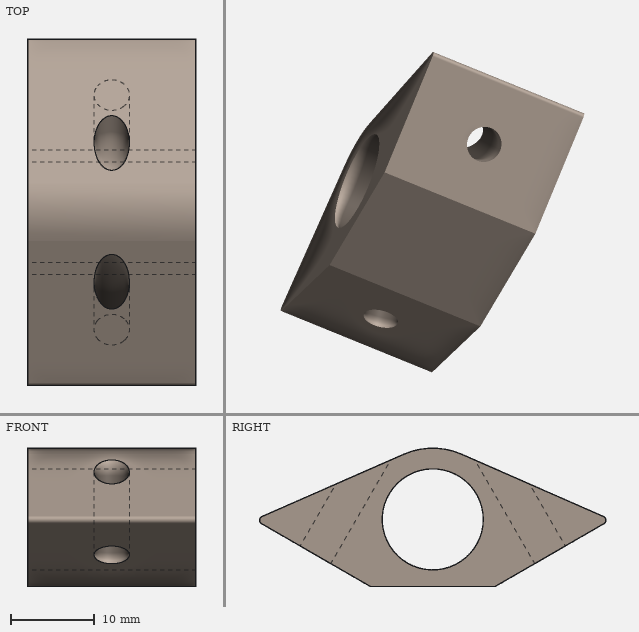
import cadquery as cq
import math

width = 20.0
length = 41.25
crown_radius = 8.5
base_depth = 8.0
base_half_width = 7.43
bore_diameter = 12.0
tip_radius = 0.5
lower_slope = math.radians(30)
hole_diameter = 4.2
hole_axis_offset = 10.0

tip_y = length / 2 - tip_radius
lower_rise = (tip_y - base_half_width) * math.tan(lower_slope)
tip_z = -base_depth + lower_rise + tip_radius / math.cos(lower_slope)
center_distance = math.hypot(tip_y, tip_z)
upper_slope = math.asin((crown_radius - tip_radius) / center_distance) - math.atan2(tip_z, tip_y)


def make_body():
    """Extrude the kite-shaped YZ profile symmetrically along X."""
    crown_y = crown_radius * math.sin(upper_slope)
    crown_z = crown_radius * math.cos(upper_slope)
    tip_upper_y = tip_y + tip_radius * math.sin(upper_slope)
    tip_upper_z = tip_z + tip_radius * math.cos(upper_slope)
    tip_lower_y = tip_y + tip_radius * math.sin(lower_slope)
    tip_lower_z = tip_z - tip_radius * math.cos(lower_slope)
    return (
        cq.Workplane("YZ")
        .moveTo(-crown_y, crown_z)
        .threePointArc((0, crown_radius), (crown_y, crown_z))
        .lineTo(tip_upper_y, tip_upper_z)
        .threePointArc((length / 2, tip_z), (tip_lower_y, tip_lower_z))
        .lineTo(base_half_width, -base_depth)
        .lineTo(-base_half_width, -base_depth)
        .lineTo(-tip_lower_y, tip_lower_z)
        .threePointArc((-length / 2, tip_z), (-tip_upper_y, tip_upper_z))
        .close()
        .extrude(width / 2, both=True)
    )


def make_bore():
    return cq.Workplane("YZ").circle(bore_diameter / 2).extrude(width / 2, both=True)


def make_cross_hole(side):
    """Through hole square to the lower flank on the given Y side (+1 or -1)."""
    axis_y = side * hole_axis_offset * math.cos(lower_slope)
    axis_z = hole_axis_offset * math.sin(lower_slope)
    axis_plane = cq.Plane(
        origin=(0, axis_y, axis_z),
        xDir=(1, 0, 0),
        normal=(0, side * math.sin(lower_slope), -math.cos(lower_slope)),
    )
    return cq.Workplane(axis_plane).circle(hole_diameter / 2).extrude(length / 2, both=True)


result = make_body().cut(make_bore())
for side in (1, -1):
    result = result.cut(make_cross_hole(side))